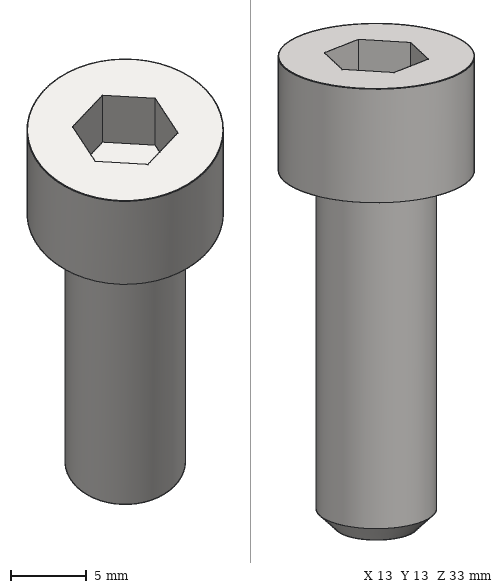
import cadquery as cq

head_diameter = 13.0
head_height = 8.0
head_rim_chamfer = 0.04

shank_diameter = 8.0
shank_length = 25.0
tip_chamfer = 1.25

socket_across_flats = 6.05
socket_depth = 4.5
hexagon_sides = 6


def make_head():
    """Round head with its top rim lightly broken."""
    head = cq.Workplane("XY").circle(head_diameter / 2).extrude(head_height)
    return head.faces(">Z").chamfer(head_rim_chamfer)


def make_shank():
    """Plain shank hanging below the head, chamfered at the tip."""
    shank = cq.Workplane("XY").circle(shank_diameter / 2).extrude(-shank_length)
    return shank.faces("<Z").chamfer(tip_chamfer)


def make_socket():
    """Hexagonal recess in the head with two flats square to the Y axis."""
    return (
        cq.Workplane("XY")
        .workplane(offset=head_height)
        .transformed(rotate=(0, 0, 180 / hexagon_sides))
        .polygon(hexagon_sides, socket_across_flats, circumscribed=True)
        .extrude(-socket_depth)
    )


result = make_head().union(make_shank()).cut(make_socket())